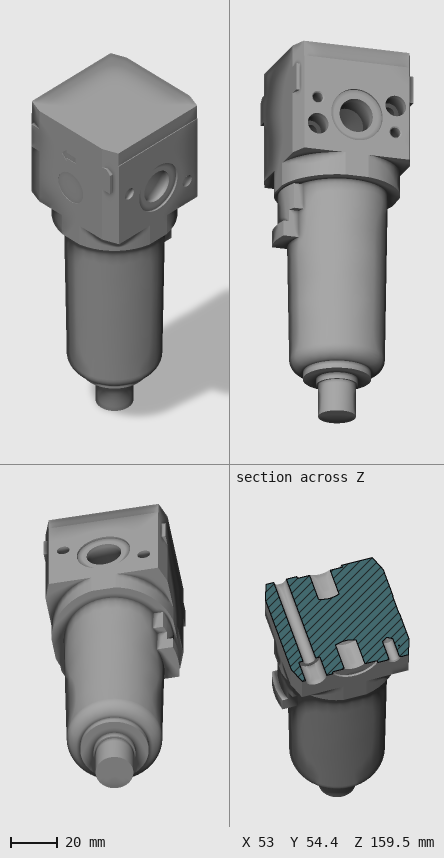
import cadquery as cq
import math


HEAD_WIDTH = 53.0
HALF_HEAD = HEAD_WIDTH / 2
FACE_WIDTH = 38.0
CORNER_ANGLE = 20.0
CAP_HALF_WIDTH = 26.15
CAP_TOP = 31.0
CAP_HEIGHT = 6.75
HEAD_TOP = CAP_TOP - CAP_HEIGHT
HEAD_BOTTOM = -17.75

SKIRT_RADIUS = 27.0
SKIRT_HEIGHT = 10.1
SKIRT_BOTTOM = HEAD_BOTTOM - SKIRT_HEIGHT

TOTAL_HEIGHT = 159.5
BASE = CAP_TOP - TOTAL_HEIGHT
BOWL_TOP_RADIUS = 21.75
BOWL_LOW_RADIUS = 20.5
BOWL_ROUND = 5.7
DRAIN_RADIUS = 8.1
DRAIN_LENGTH = 14.3
COLLAR_RADIUS = 9.0
COLLAR_HEIGHT = 2.75
FLANGE_RADIUS = 14.65
FLANGE_HEIGHT = 3.25
COLLAR_BOTTOM = BASE + DRAIN_LENGTH
FLANGE_BOTTOM = COLLAR_BOTTOM + COLLAR_HEIGHT
BOWL_BOTTOM = FLANGE_BOTTOM + FLANGE_HEIGHT

PLATE_WIDTH = 47.6
PLATE_HEIGHT = 12.0
PLATE_TOP = 21.3
PLATE_CORNER = 2.2
PLATE_THICKNESS = 2.5

MARK_DEPTH = 0.2
GAUGE_DIAMETER = 15.0
ARROW_Z = 15.95
ARROW_TIP_X = -5.5
ARROW_HEAD_LENGTH = 3.0
ARROW_LENGTH = 8.3
ARROW_HEAD_HALF = 3.0
ARROW_SHAFT_HALF = 1.5

PORT_DIAMETER = 15.0
PORT_DEPTH = 14.0
PORT_SEAT_DIAMETER = 23.2
PORT_SEAT_DEPTH = 1.0
DRILL_POINT_ANGLE = 118.0

FIXING_Y = 17.5
FIXING_Z = 6.0
SCREW_DIAMETER = 5.5
SCREW_HEAD_DIAMETER = 9.3
SCREW_HEAD_DEPTH = 10.0
TAPPED_DIAMETER = 4.5
TAPPED_MOUTH_DIAMETER = 5.5
TAPPED_DEPTH = 10.0

LATCH_INNER_RADIUS = 19.0
LEVER_RADIUS = 25.5
LEVER_HALF_WIDTH = 10.8
LEVER_TOP = -28.5
LEVER_BOTTOM = -39.7
NECK_HALF_WIDTH = 7.8
LUG_OVERHANG = 1.39
LUG_RADIUS = HALF_HEAD + LUG_OVERHANG
LUG_TOP = -44.9
LUG_BOTTOM = -51.7


def slab(half_width, bottom, top):
    """A rectangular block, as deep as the head, centred on the bowl axis."""
    height = top - bottom
    block = cq.Workplane("XY").workplane(offset=bottom)
    return block.rect(2 * half_width, HEAD_WIDTH).extrude(height)


def beveled_prism(bottom, top):
    """The head's outline: a square with four shallow corner bevels."""
    half_face = FACE_WIDTH / 2
    half_side = HALF_HEAD - (HALF_HEAD - half_face) * math.tan(math.radians(CORNER_ANGLE))
    outline = [
        (half_face, HALF_HEAD),
        (HALF_HEAD, half_side),
        (HALF_HEAD, -half_side),
        (half_face, -HALF_HEAD),
        (-half_face, -HALF_HEAD),
        (-HALF_HEAD, -half_side),
        (-HALF_HEAD, half_side),
        (-half_face, HALF_HEAD),
    ]
    return cq.Workplane("XY").workplane(offset=bottom).polyline(outline).close().extrude(top - bottom)


def head():
    """Head block, cap and skirt; the seam between cap and block stays as an edge."""
    block = beveled_prism(HEAD_BOTTOM, HEAD_TOP)
    cap = beveled_prism(HEAD_TOP, CAP_TOP).intersect(slab(CAP_HALF_WIDTH, HEAD_TOP, CAP_TOP))
    skirt = cq.Workplane("XY").workplane(offset=SKIRT_BOTTOM).circle(SKIRT_RADIUS).extrude(SKIRT_HEIGHT)
    skirt = skirt.intersect(slab(HALF_HEAD, SKIRT_BOTTOM, HEAD_BOTTOM))
    return block.union(skirt).union(cap, clean=False)


def bowl():
    """Tapered bowl with a rounded lower edge, stepping down to the drain."""
    round_top = BOWL_BOTTOM + BOWL_ROUND
    round_centre = BOWL_LOW_RADIUS - BOWL_ROUND
    diagonal = BOWL_ROUND * math.sqrt(0.5)
    profile = (
        cq.Workplane("XZ")
        .moveTo(0, SKIRT_BOTTOM)
        .lineTo(-BOWL_TOP_RADIUS, SKIRT_BOTTOM)
        .lineTo(-BOWL_LOW_RADIUS, round_top)
        .threePointArc((-round_centre - diagonal, round_top - diagonal), (-round_centre, BOWL_BOTTOM))
        .lineTo(-FLANGE_RADIUS, BOWL_BOTTOM)
        .lineTo(-FLANGE_RADIUS, FLANGE_BOTTOM)
        .lineTo(-COLLAR_RADIUS, FLANGE_BOTTOM)
        .lineTo(-COLLAR_RADIUS, COLLAR_BOTTOM)
        .lineTo(-DRAIN_RADIUS, COLLAR_BOTTOM)
        .lineTo(-DRAIN_RADIUS, BASE)
        .lineTo(0, BASE)
        .close()
    )
    return profile.revolve(360, (0, 0, 0), (0, 1, 0))


def plate(outer_face_y):
    """Name plate with one cut corner, flush with the head's front or back face."""
    half = PLATE_WIDTH / 2
    bottom = PLATE_TOP - PLATE_HEIGHT
    outline = [
        (-half, bottom),
        (half, bottom),
        (half, PLATE_TOP - PLATE_CORNER),
        (half - PLATE_CORNER, PLATE_TOP),
        (-half, PLATE_TOP),
    ]
    inward = math.copysign(PLATE_THICKNESS, outer_face_y)
    face = cq.Workplane("XZ", origin=(0, outer_face_y, 0))
    return face.polyline(outline).close().extrude(inward)


def latch_pad(radius, half_width, bottom, top):
    """A pad on the back of the bowl, rounded about the bowl axis."""
    height = top - bottom
    base = cq.Workplane("XY").workplane(offset=bottom)
    ring = base.circle(radius).circle(LATCH_INNER_RADIUS).extrude(height)
    window = base.center(0, radius / 2).rect(2 * half_width, radius).extrude(height)
    return ring.intersect(window)


def latch():
    lever = latch_pad(LEVER_RADIUS, LEVER_HALF_WIDTH, LEVER_BOTTOM, LEVER_TOP)
    neck = latch_pad(LEVER_RADIUS, NECK_HALF_WIDTH, LUG_TOP, LEVER_BOTTOM)
    lug = latch_pad(LUG_RADIUS, NECK_HALF_WIDTH, LUG_BOTTOM, LUG_TOP)
    return lever.union(neck).union(lug)


def front_marks():
    """Shallow gauge circle and flow arrow in the front face."""
    front = cq.Workplane("XZ", origin=(0, -HALF_HEAD, 0))
    gauge = front.circle(GAUGE_DIAMETER / 2).extrude(-MARK_DEPTH)
    neck_x = ARROW_TIP_X + ARROW_HEAD_LENGTH
    tail_x = ARROW_TIP_X + ARROW_LENGTH
    outline = [
        (ARROW_TIP_X, ARROW_Z),
        (neck_x, ARROW_Z + ARROW_HEAD_HALF),
        (neck_x, ARROW_Z + ARROW_SHAFT_HALF),
        (tail_x, ARROW_Z + ARROW_SHAFT_HALF),
        (tail_x, ARROW_Z - ARROW_SHAFT_HALF),
        (neck_x, ARROW_Z - ARROW_SHAFT_HALF),
        (neck_x, ARROW_Z - ARROW_HEAD_HALF),
    ]
    arrow = front.polyline(outline).close().extrude(-MARK_DEPTH)
    return gauge.union(arrow)


def drilled_hole(diameter, depth, y, z):
    """A blind hole from the -X face, ending in a drill point."""
    radius = diameter / 2
    bottom_x = depth - HALF_HEAD
    point_x = bottom_x + radius / math.tan(math.radians(DRILL_POINT_ANGLE / 2))
    profile = cq.Workplane("XY").polyline(
        [(-HALF_HEAD, 0), (-HALF_HEAD, radius), (bottom_x, radius), (point_x, 0)]
    )
    return profile.close().revolve(360, (0, 0, 0), (1, 0, 0)).translate((0, y, z))


def side_plane(y=0, z=0):
    """A plane on the -X face whose normal points into the part."""
    return cq.Workplane("YZ", origin=(-HALF_HEAD, y, z))


def port():
    seat = side_plane().circle(PORT_SEAT_DIAMETER / 2).extrude(PORT_SEAT_DEPTH)
    return seat.union(drilled_hole(PORT_DIAMETER, PORT_DEPTH, 0, 0))


def screw_hole(y, z):
    """A through hole, counterbored from the -X face."""
    shank = side_plane(y, z).circle(SCREW_DIAMETER / 2).extrude(HEAD_WIDTH)
    recess = side_plane(y, z).circle(SCREW_HEAD_DIAMETER / 2).extrude(SCREW_HEAD_DEPTH)
    return shank.union(recess)


def tapped_hole(y, z):
    """A blind hole with a chamfered mouth."""
    mouth_radius = TAPPED_MOUTH_DIAMETER / 2
    chamfer = mouth_radius - TAPPED_DIAMETER / 2
    mouth = side_plane(y, z).circle(mouth_radius).extrude(chamfer, taper=45)
    return drilled_hole(TAPPED_DIAMETER, TAPPED_DEPTH, y, z).union(mouth)


result = head().union(bowl(), clean=False).union(latch(), clean=False)
for face_y in (-HALF_HEAD, HALF_HEAD):
    inlay = plate(face_y)
    result = result.cut(inlay, clean=False).union(inlay, clean=False)
result = result.cut(front_marks(), clean=False)

result = result.cut(port(), clean=False).cut(port().mirror("YZ"), clean=False)
for side in (-1, 1):
    result = result.cut(screw_hole(side * FIXING_Y, -side * FIXING_Z), clean=False)
    result = result.cut(tapped_hole(side * FIXING_Y, side * FIXING_Z), clean=False)